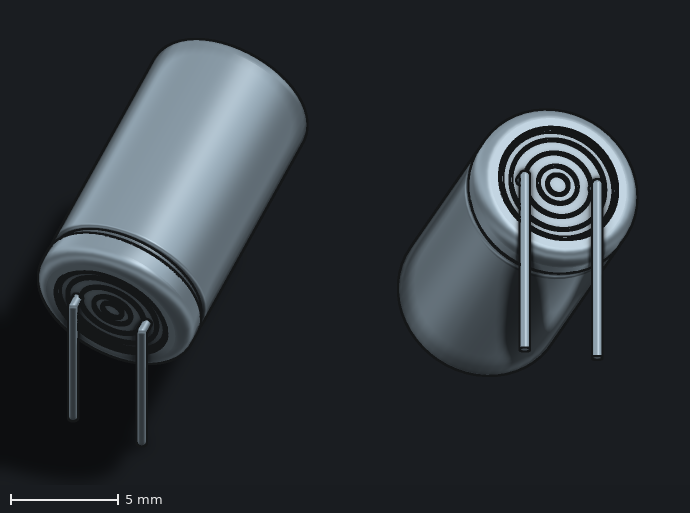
import cadquery as cq
import math

CAN_DIAMETER = 8.0
CAN_LENGTH = 14.0
CAN_EDGE_RADIUS = 0.69

SLEEVE_WALL = 0.1
OPENING_DIAMETER = 5.77

CRIMP_POSITION = 1.7
CRIMP_SHOULDER_RADIUS = 0.2
CRIMP_ROOT_RADIUS = 0.2
CRIMP_ROOT_ANGLE = math.radians(30)
CRIMP_FLOOR_WIDTH = 0.1

RECESS_DEPTH = 0.1

RIB_OUTER_DIAMETERS = [1.11, 2.0, 3.34, 4.67, 5.55]
RIB_WIDTH = 0.11

LEAD_DIAMETER = 0.5
LEAD_SPACING = 3.52
LEAD_OFFSET = 0.4
LEAD_DROP = 8.89

CAN_RADIUS = CAN_DIAMETER / 2
CORE_FACE = SLEEVE_WALL
RECESS_FLOOR = CORE_FACE + RECESS_DEPTH
LEAD_RADIUS = LEAD_DIAMETER / 2
AXIS_START = (0, 0)
AXIS_END = (0, 1)


def arc_point(center, radius, angle):
    """Point on a circle, with the angle in radians from the radial direction toward +Y."""
    return (center[0] + radius * math.cos(angle), center[1] + radius * math.sin(angle))


def can_outline(inner_edge):
    """Half section of the can surface, from a straight edge at the given radius outward."""
    edge_center_radius = CAN_RADIUS - CAN_EDGE_RADIUS
    front_edge = (edge_center_radius, CAN_EDGE_RADIUS)
    back_edge = (edge_center_radius, CAN_LENGTH - CAN_EDGE_RADIUS)

    root_offset = CRIMP_FLOOR_WIDTH / 2
    shoulder_offset = (
        root_offset + CRIMP_ROOT_RADIUS * math.sin(CRIMP_ROOT_ANGLE) + CRIMP_SHOULDER_RADIUS
    )
    shoulder_center_radius = CAN_RADIUS - CRIMP_SHOULDER_RADIUS
    root_center_radius = shoulder_center_radius + CRIMP_ROOT_RADIUS * math.cos(CRIMP_ROOT_ANGLE)
    front_shoulder = (shoulder_center_radius, CRIMP_POSITION - shoulder_offset)
    front_root = (root_center_radius, CRIMP_POSITION - root_offset)
    back_root = (root_center_radius, CRIMP_POSITION + root_offset)
    back_shoulder = (shoulder_center_radius, CRIMP_POSITION + shoulder_offset)

    quarter = math.pi / 2
    half_quarter = quarter / 2
    half_root = CRIMP_ROOT_ANGLE / 2
    return (
        cq.Workplane("XY")
        .moveTo(inner_edge, 0)
        .lineTo(edge_center_radius, 0)
        .threePointArc(
            arc_point(front_edge, CAN_EDGE_RADIUS, -half_quarter),
            arc_point(front_edge, CAN_EDGE_RADIUS, 0),
        )
        .lineTo(*arc_point(front_shoulder, CRIMP_SHOULDER_RADIUS, 0))
        .threePointArc(
            arc_point(front_shoulder, CRIMP_SHOULDER_RADIUS, half_quarter),
            arc_point(front_shoulder, CRIMP_SHOULDER_RADIUS, quarter),
        )
        .threePointArc(
            arc_point(front_root, CRIMP_ROOT_RADIUS, math.pi + half_root),
            arc_point(front_root, CRIMP_ROOT_RADIUS, math.pi),
        )
        .lineTo(*arc_point(back_root, CRIMP_ROOT_RADIUS, math.pi))
        .threePointArc(
            arc_point(back_root, CRIMP_ROOT_RADIUS, math.pi - half_root),
            arc_point(back_root, CRIMP_ROOT_RADIUS, math.pi - CRIMP_ROOT_ANGLE),
        )
        .threePointArc(
            arc_point(back_shoulder, CRIMP_SHOULDER_RADIUS, -half_quarter),
            arc_point(back_shoulder, CRIMP_SHOULDER_RADIUS, 0),
        )
        .lineTo(*arc_point(back_edge, CAN_EDGE_RADIUS, 0))
        .threePointArc(
            arc_point(back_edge, CAN_EDGE_RADIUS, half_quarter),
            arc_point(back_edge, CAN_EDGE_RADIUS, quarter),
        )
        .lineTo(inner_edge, CAN_LENGTH)
        .close()
    )


def outer_drum():
    """Solid bounded by the outside of the sleeve."""
    return can_outline(0).revolve(360, AXIS_START, AXIS_END)


def inner_drum():
    """Solid bounded by the inside of the sleeve, one wall thickness further in."""
    outline = can_outline(-SLEEVE_WALL).offset2D(-SLEEVE_WALL, "arc")
    return outline.revolve(360, AXIS_START, AXIS_END)


def cylinder_along_y(diameter, start, end):
    """Cylinder on the can axis between two Y positions."""
    outline = cq.Workplane("XY").moveTo(0, start).rect(diameter / 2, end - start, centered=False)
    return outline.revolve(360, AXIS_START, AXIS_END)


def face_rib(outer_diameter):
    """One circular rib standing on the recess floor."""
    disc = cylinder_along_y(outer_diameter, CORE_FACE, RECESS_FLOOR)
    return disc.cut(cylinder_along_y(outer_diameter - 2 * RIB_WIDTH, CORE_FACE, RECESS_FLOOR))


def lead(x):
    """One wire: a stub out of the core, a ball at the bend and a straight drop."""
    stub = (
        cq.Workplane("XZ", origin=(x, RECESS_FLOOR, 0))
        .circle(LEAD_RADIUS)
        .extrude(RECESS_FLOOR + LEAD_OFFSET)
    )
    bend = cq.Workplane("XY", origin=(x, -LEAD_OFFSET, 0)).sphere(LEAD_RADIUS)
    drop = cq.Workplane("XY", origin=(x, -LEAD_OFFSET, 0)).circle(LEAD_RADIUS).extrude(-LEAD_DROP)
    return stub.union(bend).union(drop)


def make_sleeve():
    """Thin skin with a round opening at the lead end."""
    opening = cylinder_along_y(OPENING_DIAMETER, 0, CORE_FACE)
    return outer_drum().cut(inner_drum()).cut(opening)


def make_core():
    """Filling of the sleeve, with a ribbed recess and two leads at its face."""
    core = inner_drum().cut(cylinder_along_y(OPENING_DIAMETER, CORE_FACE, RECESS_FLOOR))
    for outer_diameter in RIB_OUTER_DIAMETERS:
        core = core.union(face_rib(outer_diameter))
    for x in (-LEAD_SPACING / 2, LEAD_SPACING / 2):
        core = core.union(lead(x))
    return core


sleeve = make_sleeve()
core = make_core()
result = cq.Compound.makeCompound([sleeve.val(), core.val()])